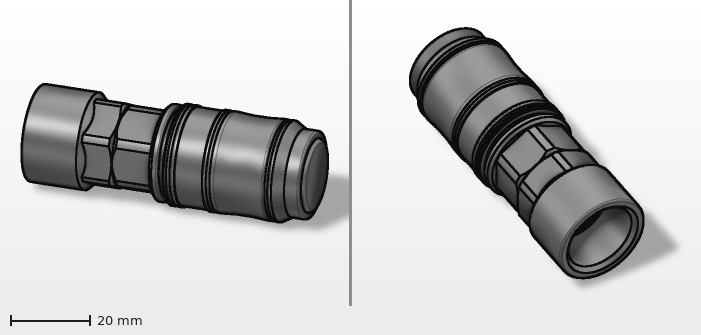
import cadquery as cq
import math

length = 74.6

socket_dia = 25.0
socket_edge_round = 0.5
socket_end = 14.7

hex_flats = [21.1, 20.7]
hex_corner_dias = [23.3, 22.6]
hex_meeting = 23.6
hex_groove_dia = 20.75
hex_chamfers = [0.8, 1.0]
hex_end = 33.8

flange_dia = socket_dia
flange_front_chamfer = 0.9
flange_back_round = 0.4
flange_end = 36.25
neck_dia = 22.4

sleeve_start = 37.8
sleeve_edge_chamfer = 0.3
sleeve_dia = 26.0
label_dia = 25.4
label_start = 40.95
label_end = 48.35
grip_start = 51.5
grip_end = 64.1
grip_depth = 0.4
cone_start = 66.8
ring_groove_depth = 0.3
ring_lip_drop = 0.1
ring_grooves = [
    (38.8, 39.7, 0, 0.45),
    (49.4, 50.35, 0, 0),
    (65.0, 65.7, 0.45, 0.45),
]

collar_start = 69.7
collar_end = 73.55
collar_dia = 22.7
collar_round = 0.5
nose_dia = 19.0
nose_round = length - collar_end

bore_mouth_dia = 21.1
bore_dia = 18.7
bore_depth = 12.8
bore_step_dia = 16.8
bore_step_depth = 0.4

AXIS_START = (0, 0, 0)
AXIS_END = (1, 0, 0)


def turn(profile):
    """Close an (axial, radial) profile and revolve it about the X axis."""
    return profile.close().revolve(360, AXIS_START, AXIS_END)


def turn_points(points):
    return turn(cq.Workplane("XY").polyline(points))


def make_socket():
    radius = socket_dia / 2
    root_radius = hex_groove_dia / 2
    shoulder_end = socket_end + radius - root_radius
    profile = (
        cq.Workplane("XY")
        .lineTo(0, radius - socket_edge_round)
        .radiusArc((socket_edge_round, radius), socket_edge_round)
        .lineTo(socket_end, radius)
        .lineTo(shoulder_end, root_radius)
        .lineTo(shoulder_end, 0)
    )
    return turn(profile)


def make_hexagon(flats, corner_dia, far_end, chamfer):
    """Hexagon with turned corners, chamfered where it meets the other hexagon."""
    direction = math.copysign(1, far_end - hex_meeting)
    envelope = turn_points([
        (hex_meeting, 0),
        (hex_meeting, hex_groove_dia / 2),
        (hex_meeting + direction * chamfer, corner_dia / 2),
        (far_end, corner_dia / 2),
        (far_end, 0),
    ])
    prism = (
        cq.Workplane("YZ")
        .polygon(6, flats / math.cos(math.pi / 6))
        .extrude(length)
        .rotate(AXIS_START, AXIS_END, 90)
    )
    return envelope.intersect(prism)


def make_flange_and_neck():
    radius = flange_dia / 2
    profile = (
        cq.Workplane("XY")
        .moveTo(hex_end, 0)
        .lineTo(hex_end, radius - flange_front_chamfer)
        .lineTo(hex_end + flange_front_chamfer, radius)
        .lineTo(flange_end - flange_back_round, radius)
        .radiusArc((flange_end, radius - flange_back_round), flange_back_round)
        .lineTo(flange_end, neck_dia / 2)
        .lineTo(sleeve_start, neck_dia / 2)
        .lineTo(sleeve_start, 0)
    )
    return turn(profile)


def make_sleeve():
    radius = sleeve_dia / 2
    label_radius = label_dia / 2
    collar_radius = collar_dia / 2
    nose_radius = nose_dia / 2
    profile = (
        cq.Workplane("XY")
        .moveTo(sleeve_start, 0)
        .lineTo(sleeve_start, radius - sleeve_edge_chamfer)
        .lineTo(sleeve_start + sleeve_edge_chamfer, radius)
        .lineTo(label_start, radius)
        .lineTo(label_start, label_radius)
        .lineTo(label_end, label_radius)
        .lineTo(label_end, radius)
        .lineTo(grip_start, radius)
        .threePointArc(((grip_start + grip_end) / 2, radius - grip_depth), (grip_end, radius))
        .lineTo(cone_start, radius)
        .lineTo(collar_start, collar_radius)
        .lineTo(collar_end - collar_round, collar_radius)
        .radiusArc((collar_end, collar_radius - collar_round), collar_round)
        .lineTo(collar_end, nose_radius)
        .radiusArc((length, nose_radius - nose_round), nose_round)
        .lineTo(length, 0)
    )
    return turn(profile)


def make_ring_groove(start, end, taper_before, taper_after):
    """Round-bottomed ring groove in the sleeve, with an optional tapered lip on each side."""
    radius = sleeve_dia / 2
    lip_radius = radius - ring_lip_drop
    bottom = ((start + end) / 2, radius - ring_groove_depth)
    groove_start = (start, lip_radius if taper_before else radius)
    groove_end = (end, lip_radius if taper_after else radius)
    profile = cq.Workplane("XY").moveTo(start - taper_before, radius)
    if taper_before:
        profile = profile.lineTo(*groove_start)
    profile = profile.threePointArc(bottom, groove_end)
    if taper_after:
        profile = profile.lineTo(end + taper_after, radius)
    return turn(profile)


def make_bore():
    mouth_chamfer = (bore_mouth_dia - bore_dia) / 2
    bottom = bore_depth + bore_step_depth
    return turn_points([
        (0, 0),
        (0, bore_mouth_dia / 2),
        (mouth_chamfer, bore_dia / 2),
        (bore_depth, bore_dia / 2),
        (bore_depth, bore_step_dia / 2),
        (bottom, bore_step_dia / 2),
        (bottom, 0),
    ])


result = make_socket()
for flats, corner_dia, far_end, chamfer in zip(
    hex_flats, hex_corner_dias, [socket_end, hex_end], hex_chamfers
):
    result = result.union(make_hexagon(flats, corner_dia, far_end, chamfer))
result = result.union(make_flange_and_neck()).union(make_sleeve())
for groove in ring_grooves:
    result = result.cut(make_ring_groove(*groove))
result = result.cut(make_bore())